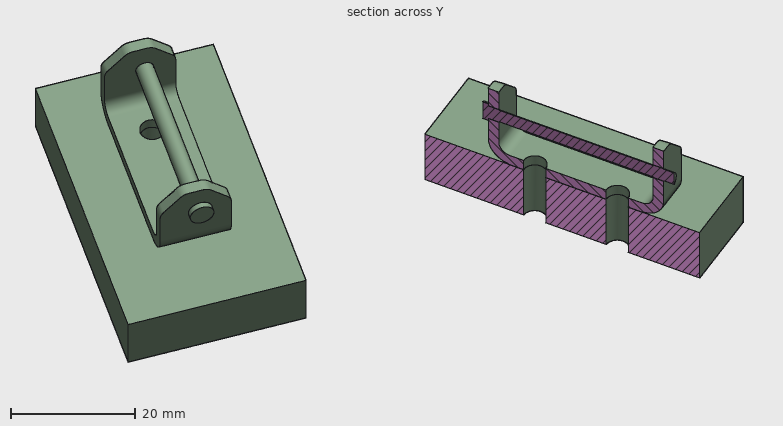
import cadquery as cq

BASE_LENGTH = 50
BASE_WIDTH = 30
BASE_HEIGHT = 10

BRACKET_X = -2.5
BRACKET_LENGTH = 32
BRACKET_WIDTH = 12
BRACKET_HEIGHT = 15
SHEET = 2
INNER_BEND_RADIUS = 2
OUTER_BEND_RADIUS = INNER_BEND_RADIUS + SHEET
EAR_CHAMFER = 4
EAR_CORNER_RADIUS = 2

HOLE_DIAMETER = 4
HOLE_SPACING = 15

PIN_DIAMETER = 3
PIN_Y = 0.75
PIN_Z = 19.75
PIN_OVERHANG = 1.85
HEAD_DIAMETER = 4
HEAD_THICKNESS = 1

BRACKET_TOP = BASE_HEIGHT + BRACKET_HEIGHT
BRACKET_LEFT = BRACKET_X - BRACKET_LENGTH / 2
BRACKET_RIGHT = BRACKET_X + BRACKET_LENGTH / 2


def x_cylinder(diameter, x_start, x_end):
    """Cylinder along X on the pin axis."""
    return (
        cq.Workplane("YZ", origin=(x_start, PIN_Y, PIN_Z))
        .circle(diameter / 2)
        .extrude(x_end - x_start)
    )


def mounting_holes():
    """Two vertical cutters reaching from the underside to the bracket top."""
    return (
        cq.Workplane("XY")
        .center(BRACKET_X, 0)
        .rarray(HOLE_SPACING, 0.5, 2, 1)
        .circle(HOLE_DIAMETER / 2)
        .extrude(BRACKET_TOP)
    )


def make_base():
    block = cq.Workplane("XY").box(BASE_LENGTH, BASE_WIDTH, BASE_HEIGHT, centered=(True, True, False))
    return block.cut(mounting_holes())


def make_channel():
    """Bent sheet with square-cornered ears."""
    outside = (
        cq.Workplane("XY", origin=(BRACKET_X, 0, BASE_HEIGHT))
        .box(BRACKET_LENGTH, BRACKET_WIDTH, BRACKET_HEIGHT, centered=(True, True, False))
        .edges("|Y and <Z")
        .fillet(OUTER_BEND_RADIUS)
    )
    inside = (
        cq.Workplane("XY", origin=(BRACKET_X, 0, BASE_HEIGHT + SHEET))
        .box(BRACKET_LENGTH - 2 * SHEET, BRACKET_WIDTH, BRACKET_HEIGHT, centered=(True, True, False))
        .edges("|Y and <Z")
        .fillet(INNER_BEND_RADIUS)
    )
    return outside.cut(inside)


def make_ear_profile():
    """Block with the ear outline: chamfered top corners, rounded where they meet the sides."""
    half_width = BRACKET_WIDTH / 2
    shoulder_z = BRACKET_TOP - EAR_CHAMFER
    half_top = half_width - EAR_CHAMFER
    return (
        cq.Workplane("YZ", origin=(BRACKET_LEFT, 0, 0))
        .moveTo(-half_width, BASE_HEIGHT)
        .lineTo(half_width, BASE_HEIGHT)
        .lineTo(half_width, shoulder_z)
        .lineTo(half_top, BRACKET_TOP)
        .lineTo(-half_top, BRACKET_TOP)
        .lineTo(-half_width, shoulder_z)
        .close()
        .extrude(BRACKET_LENGTH)
        .edges("|X and (not <Z)")
        .fillet(EAR_CORNER_RADIUS)
    )


def make_bracket():
    pin_bore = x_cylinder(PIN_DIAMETER, BRACKET_LEFT, BRACKET_RIGHT)
    return make_channel().intersect(make_ear_profile()).cut(pin_bore).cut(mounting_holes())


def make_pin():
    shank = x_cylinder(PIN_DIAMETER, BRACKET_LEFT - PIN_OVERHANG, BRACKET_RIGHT)
    head = x_cylinder(HEAD_DIAMETER, BRACKET_RIGHT, BRACKET_RIGHT + HEAD_THICKNESS)
    return shank.union(head)


base = make_base()
bracket = make_bracket()
pin = make_pin()
result = cq.Compound.makeCompound([body.solids().val() for body in (base, bracket, pin)])